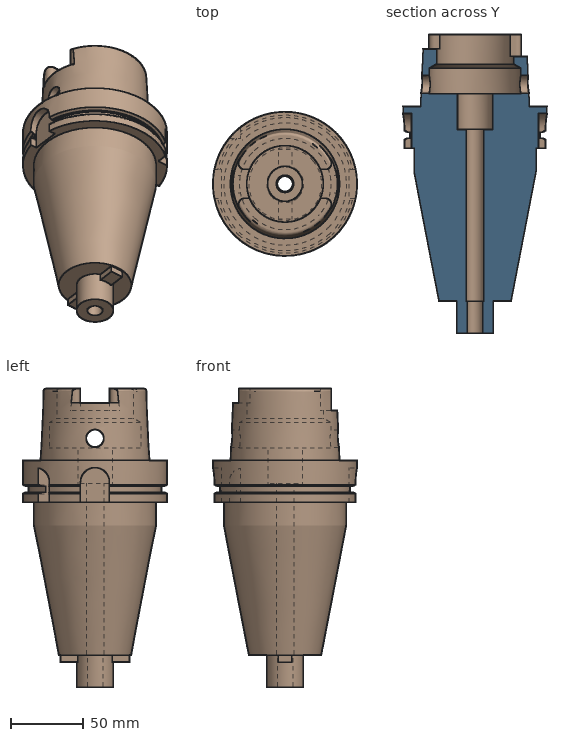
import cadquery as cq
import math

TOTAL_HEIGHT = 207.0
SHANK_LENGTH = 49.9
FLANGE_THICKNESS = 29.0
COLLAR_LENGTH = 16.1
PILOT_LENGTH = 22.4
flange_top = TOTAL_HEIGHT - SHANK_LENGTH
flange_bottom = flange_top - FLANGE_THICKNESS
collar_bottom = flange_bottom - COLLAR_LENGTH

SHANK_TOP_RADIUS = 35.6
SHANK_BASE_RADIUS = 37.9
FLANGE_RADIUS = 100.0 / 2
COLLAR_RADIUS = 84.9 / 2
NOSE_RADIUS = 50.3 / 2
PILOT_RADIUS = 25.5 / 2
RIM_FILLET = 2.0

GROOVE_RADIUS = 46.2
GROOVE_LIP_RADIUS = 47.8
GROOVE_WIDTH = 4.0
GROOVE_BEVEL = 1.14
GROOVE_CENTER_DROP = 19.9
groove_center = flange_top - GROOVE_CENTER_DROP

BORE_RADIUS = 53.0 / 2
UNDERCUT_RADIUS = 63.3 / 2
UNDERCUT_SLOPE_DEGREES = 30.0
BORE_LIP_DEPTH = 20.5
BORE_DEPTH = 41.0
THREAD_RADIUS = 24.2 / 2
THREAD_DEPTH = 24.8
COOLANT_RADIUS = 12.0 / 2
TIP_HOLE_RADIUS = 10.5 / 2

DRIVE_SLOT_HALF_WIDTH = 20.0 / 2
DRIVE_FLAT_X = 32.0
DRIVE_CORNER_RADIUS = 4.0
DRIVE_DEPTH_MINUS_X = 10.0
DRIVE_DEPTH_PLUS_X = 15.1

CROSS_HOLE_RADIUS = 12.0 / 2
CROSS_HOLE_DROP = 34.5

FLANGE_SLOT_RADIUS = 20.0 / 2
FLANGE_SLOT_DROP = 5.0
KEYWAY_FLOOR_X = 44.0
NOTCH_FLOOR_X = 31.0
NOTCH_CENTER_Y = 41.6

KEY_WIDTH = 9.5
KEY_LENGTH = 48.0
KEY_HEIGHT = 5.0

CLEARANCE = 10.4


def revolve_profile(points):
    """Solid of revolution about Z from (radius, height) points."""
    return cq.Workplane("XZ").polyline(points).close().revolve(360, (0, 0, 0), (0, 1, 0))


def make_body():
    half_groove = GROOVE_WIDTH / 2
    half_mouth = half_groove + GROOVE_BEVEL
    body = revolve_profile([
        (0, 0),
        (PILOT_RADIUS, 0),
        (PILOT_RADIUS, PILOT_LENGTH),
        (NOSE_RADIUS, PILOT_LENGTH),
        (COLLAR_RADIUS, collar_bottom),
        (COLLAR_RADIUS, flange_bottom),
        (FLANGE_RADIUS, flange_bottom),
        (FLANGE_RADIUS, groove_center - half_mouth),
        (GROOVE_LIP_RADIUS, groove_center - half_groove),
        (GROOVE_RADIUS, groove_center - half_groove),
        (GROOVE_RADIUS, groove_center + half_groove),
        (GROOVE_LIP_RADIUS, groove_center + half_groove),
        (FLANGE_RADIUS, groove_center + half_mouth),
        (FLANGE_RADIUS, flange_top),
        (SHANK_BASE_RADIUS, flange_top),
        (SHANK_TOP_RADIUS, TOTAL_HEIGHT),
        (0, TOTAL_HEIGHT),
    ])
    return body.faces(">Z").edges().fillet(RIM_FILLET)


def make_bore():
    lip_bottom = TOTAL_HEIGHT - BORE_LIP_DEPTH
    cone_height = (UNDERCUT_RADIUS - BORE_RADIUS) * math.tan(math.radians(UNDERCUT_SLOPE_DEGREES))
    bore_floor = TOTAL_HEIGHT - BORE_DEPTH
    thread_floor = bore_floor - THREAD_DEPTH
    return revolve_profile([
        (0, 0),
        (TIP_HOLE_RADIUS, 0),
        (TIP_HOLE_RADIUS, PILOT_LENGTH),
        (COOLANT_RADIUS, PILOT_LENGTH),
        (COOLANT_RADIUS, thread_floor),
        (THREAD_RADIUS, thread_floor),
        (THREAD_RADIUS, bore_floor),
        (UNDERCUT_RADIUS, bore_floor),
        (UNDERCUT_RADIUS, lip_bottom - cone_height),
        (BORE_RADIUS, lip_bottom),
        (BORE_RADIUS, TOTAL_HEIGHT),
        (0, TOTAL_HEIGHT),
    ])


def make_drive_slot(side, depth):
    """Slot from the bore outwards, opening through rounded corners onto a flat."""
    outer_x = side * (SHANK_BASE_RADIUS + CLEARANCE)
    flat_x = side * DRIVE_FLAT_X
    corner_x = side * (DRIVE_FLAT_X - DRIVE_CORNER_RADIUS)
    corner_y = DRIVE_SLOT_HALF_WIDTH + DRIVE_CORNER_RADIUS
    mid_offset = DRIVE_CORNER_RADIUS * math.sqrt(0.5)
    mid_x = corner_x + side * mid_offset
    mid_y = corner_y - mid_offset
    return (
        cq.Workplane("XY", origin=(0, 0, TOTAL_HEIGHT - depth))
        .moveTo(0, -DRIVE_SLOT_HALF_WIDTH)
        .lineTo(corner_x, -DRIVE_SLOT_HALF_WIDTH)
        .threePointArc((mid_x, -mid_y), (flat_x, -corner_y))
        .lineTo(flat_x, -SHANK_BASE_RADIUS)
        .lineTo(outer_x, -SHANK_BASE_RADIUS)
        .lineTo(outer_x, SHANK_BASE_RADIUS)
        .lineTo(flat_x, SHANK_BASE_RADIUS)
        .lineTo(flat_x, corner_y)
        .threePointArc((mid_x, mid_y), (corner_x, DRIVE_SLOT_HALF_WIDTH))
        .lineTo(0, DRIVE_SLOT_HALF_WIDTH)
        .close()
        .extrude(depth)
    )


def make_cross_hole():
    return (
        cq.Workplane("YZ")
        .center(0, TOTAL_HEIGHT - CROSS_HOLE_DROP)
        .circle(CROSS_HOLE_RADIUS)
        .extrude(FLANGE_RADIUS, both=True)
    )


def make_flange_slot(side, floor_x, center_y):
    """Round-topped slot with a flat floor facing outwards along X."""
    arch_top = flange_top - FLANGE_SLOT_DROP
    arch_center = arch_top - FLANGE_SLOT_RADIUS
    return (
        cq.Workplane("YZ", origin=(side * floor_x, center_y, 0))
        .moveTo(-FLANGE_SLOT_RADIUS, flange_bottom)
        .lineTo(-FLANGE_SLOT_RADIUS, arch_center)
        .threePointArc((0, arch_top), (FLANGE_SLOT_RADIUS, arch_center))
        .lineTo(FLANGE_SLOT_RADIUS, flange_bottom)
        .close()
        .extrude(side * FLANGE_RADIUS)
    )


def make_key():
    return (
        cq.Workplane("XY", origin=(0, 0, PILOT_LENGTH - KEY_HEIGHT))
        .rect(KEY_WIDTH, KEY_LENGTH)
        .extrude(KEY_HEIGHT)
    )


result = make_body().union(make_key()).cut(make_bore()).cut(make_cross_hole())
for slot_side, slot_depth in ((-1, DRIVE_DEPTH_MINUS_X), (1, DRIVE_DEPTH_PLUS_X)):
    result = result.cut(make_drive_slot(slot_side, slot_depth))
    result = result.cut(make_flange_slot(slot_side, KEYWAY_FLOOR_X, 0))
result = result.cut(make_flange_slot(-1, NOTCH_FLOOR_X, NOTCH_CENTER_Y))